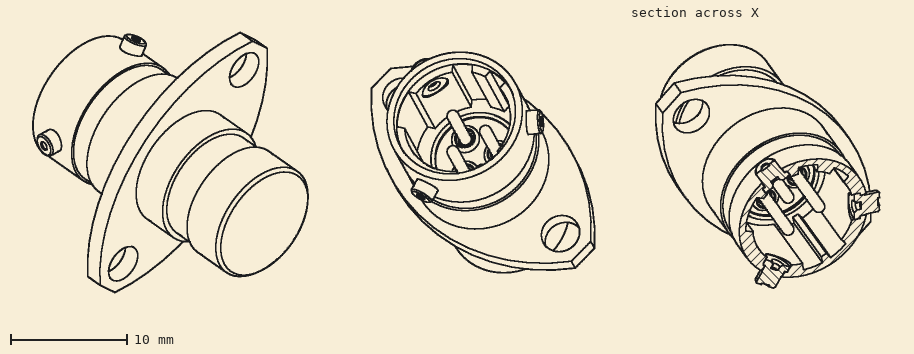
import cadquery as cq
import math

LENGTH = 23.3
FRONT_RADIUS = 5.96
FRONT_GROOVE_RADIUS = 5.75
FRONT_GROOVE_START = 5.03
FRONT_GROOVE_END = 7.01
FLANGE_START = 11.25
FLANGE_END = 12.85
REAR_RADIUS = 5.5
NECK_RADIUS = 5.0
NECK_START = 16.29
NECK_END = 19.27
TAIL_RADIUS = 5.34
TAIL_CHAMFER = 0.3

FLANGE_ARC_RADIUS = 16.5
FLANGE_ARC_CENTER_OFFSET = 9.62
FLANGE_TIP_DISTANCE = 12.45
FLANGE_DIAGONAL_ANGLE = 45.0
MOUNT_HOLE_RADIUS = 1.68
MOUNT_HOLE_DISTANCE = 9.88

MOUTH_RADIUS = 5.35
MOUTH_DEPTH = 1.2
KEYED_BORE_RADIUS = 4.65
SOCKET_DEPTH = 9.32
KEYWAY_FLOOR_RADIUS = 5.31
KEYWAY_WIDTH = 1.75
WIDE_KEYWAY_WIDTH = 3.3
KEYWAY_ANGLES = [95.0, 132.3, 232.0, 260.1]
WIDE_KEYWAY_ANGLE = 17.7

INSERT_RING_OUTER_RADIUS = 3.98
INSERT_RING_INNER_RADIUS = 3.6
INSERT_RING_HEIGHT = 0.23

CONTACT_ANGLES = [60.0, 180.0, 300.0]
CONTACT_CIRCLE_RADIUS = 1.9
CONTACT_RADIUS = 0.51
CONTACT_TIP = 3.38
COLLAR_RADIUS = 1.2
COLLAR_HEIGHT = 0.37
COLLAR_FILLET = 0.2
COLLAR_MOUTH_RADIUS = 0.89
COLLAR_STEP_DEPTH = 0.19
COLLAR_SINK_RADIUS = 0.82
COLLAR_FLOOR_RADIUS = 0.65

STUD_ANGLES = [60.0, 180.0, 300.0]
STUD_X = 2.7
STUD_RADIUS = 1.03
STUD_TOP = 7.08
STUD_CHAMFER = 0.15
STUD_DIMPLE_RADIUS = 0.4
STUD_DIMPLE_DEPTH = 0.15
STUD_HEAD_RADIUS = 1.28
STUD_HEAD_BOTTOM = 4.7
STUD_HEAD_TOP = 5.25
STUD_SINK_RADIUS = 0.58
STUD_SINK_DEPTH = 0.25
STUD_BORE_RADIUS = 0.35
STUD_BORE_DEPTH = 0.65


def x_cylinder(radius, start, end):
    """Cylinder about the connector axis between two X positions."""
    return cq.Workplane("YZ", origin=(start, 0, 0)).circle(radius).extrude(end - start)


def turn(body, angle):
    """Turn a body about the connector axis, from +Y toward +Z."""
    return body.rotate((0, 0, 0), (1, 0, 0), angle)


def make_barrel():
    """Stepped outside of the shell, solid inside."""
    return (
        cq.Workplane("XY")
        .moveTo(0, 0)
        .lineTo(0, FRONT_RADIUS)
        .lineTo(FRONT_GROOVE_START, FRONT_RADIUS)
        .lineTo(FRONT_GROOVE_START, FRONT_GROOVE_RADIUS)
        .lineTo(FRONT_GROOVE_END, FRONT_GROOVE_RADIUS)
        .lineTo(FRONT_GROOVE_END, FRONT_RADIUS)
        .lineTo(FLANGE_END, FRONT_RADIUS)
        .lineTo(FLANGE_END, REAR_RADIUS)
        .lineTo(NECK_START, REAR_RADIUS)
        .lineTo(NECK_START, NECK_RADIUS)
        .lineTo(NECK_END, NECK_RADIUS)
        .lineTo(NECK_END, TAIL_RADIUS)
        .lineTo(LENGTH - TAIL_CHAMFER, TAIL_RADIUS)
        .lineTo(LENGTH, TAIL_RADIUS - TAIL_CHAMFER)
        .lineTo(LENGTH, 0)
        .close()
        .revolve(360, (0, 0, 0), (1, 0, 0))
    )


def make_flange():
    """Lens-shaped plate with two mounting holes, its long axis on the Y-Z diagonal."""
    tip_half_width = (
        math.sqrt(FLANGE_ARC_RADIUS**2 - FLANGE_TIP_DISTANCE**2) - FLANGE_ARC_CENTER_OFFSET
    )
    waist_half_width = FLANGE_ARC_RADIUS - FLANGE_ARC_CENTER_OFFSET
    plate = (
        cq.Workplane("YZ", origin=(FLANGE_START, 0, 0))
        .moveTo(-FLANGE_TIP_DISTANCE, -tip_half_width)
        .threePointArc((0, -waist_half_width), (FLANGE_TIP_DISTANCE, -tip_half_width))
        .lineTo(FLANGE_TIP_DISTANCE, tip_half_width)
        .threePointArc((0, waist_half_width), (-FLANGE_TIP_DISTANCE, tip_half_width))
        .close()
        .pushPoints([(-MOUNT_HOLE_DISTANCE, 0), (MOUNT_HOLE_DISTANCE, 0)])
        .circle(MOUNT_HOLE_RADIUS)
        .extrude(FLANGE_END - FLANGE_START)
    )
    return turn(plate, FLANGE_DIAGONAL_ANGLE)


def make_keyway(width, angle):
    """Parallel-sided slot from the axis out to the round keyway floor."""
    slot = cq.Workplane("XY").box(
        SOCKET_DEPTH, MOUTH_RADIUS, width, centered=(False, False, True)
    )
    return turn(slot, angle).intersect(x_cylinder(KEYWAY_FLOOR_RADIUS, 0, SOCKET_DEPTH))


def make_socket():
    """Volume of the front socket with all its keyways."""
    socket = x_cylinder(KEYED_BORE_RADIUS, 0, SOCKET_DEPTH)
    socket = socket.union(x_cylinder(MOUTH_RADIUS, 0, MOUTH_DEPTH))
    for angle in KEYWAY_ANGLES:
        socket = socket.union(make_keyway(KEYWAY_WIDTH, angle))
    return socket.union(make_keyway(WIDE_KEYWAY_WIDTH, WIDE_KEYWAY_ANGLE))


def make_insert_ring():
    """Raised ring on the socket floor."""
    start = SOCKET_DEPTH - INSERT_RING_HEIGHT
    ring = x_cylinder(INSERT_RING_OUTER_RADIUS, start, SOCKET_DEPTH)
    return ring.cut(x_cylinder(INSERT_RING_INNER_RADIUS, start, SOCKET_DEPTH))


def make_collar():
    """Collar on the connector axis, rounded outside and stepped and countersunk inside."""
    rim = SOCKET_DEPTH - COLLAR_HEIGHT
    step = rim + COLLAR_STEP_DEPTH
    fillet_inset = COLLAR_FILLET * (1 - math.sqrt(0.5))
    return (
        cq.Workplane("XY")
        .moveTo(FLANGE_START, 0)
        .lineTo(SOCKET_DEPTH, 0)
        .lineTo(SOCKET_DEPTH, COLLAR_FLOOR_RADIUS)
        .lineTo(step, COLLAR_SINK_RADIUS)
        .lineTo(step, COLLAR_MOUTH_RADIUS)
        .lineTo(rim, COLLAR_MOUTH_RADIUS)
        .lineTo(rim, COLLAR_RADIUS - COLLAR_FILLET)
        .threePointArc(
            (rim + fillet_inset, COLLAR_RADIUS - fillet_inset),
            (rim + COLLAR_FILLET, COLLAR_RADIUS),
        )
        .lineTo(FLANGE_START, COLLAR_RADIUS)
        .close()
        .revolve(360, (0, 0, 0), (1, 0, 0))
    )


def make_contact(angle):
    """Round-nosed pin in its collar, both rooted behind the socket floor."""
    nose_center = CONTACT_TIP + CONTACT_RADIUS
    pin = x_cylinder(CONTACT_RADIUS, nose_center, FLANGE_START)
    nose = cq.Workplane("YZ", origin=(nose_center, 0, 0)).sphere(CONTACT_RADIUS)
    contact = make_collar().union(pin).union(nose)
    return turn(contact.translate((0, CONTACT_CIRCLE_RADIUS, 0)), angle)


def y_cylinder(radius, bottom, top):
    """Cylinder along Y at the stud position, between two distances from the connector axis."""
    cylinder = cq.Workplane("XZ", origin=(STUD_X, bottom, 0)).circle(radius)
    return cylinder.extrude(bottom - top)


def make_stud_hole(angle):
    """Stepped hole in the shell wall that matches the stud."""
    hole = y_cylinder(STUD_RADIUS, 0, STUD_TOP)
    return turn(hole.union(y_cylinder(STUD_HEAD_RADIUS, 0, STUD_HEAD_TOP)), angle)


def make_stud_bore():
    """Countersunk blind bore that opens at the inner face of the stud head."""
    bore_floor = STUD_HEAD_BOTTOM + STUD_BORE_DEPTH
    sink_floor = STUD_HEAD_BOTTOM + STUD_SINK_DEPTH
    return (
        cq.Workplane("XY", origin=(STUD_X, 0, 0))
        .moveTo(0, STUD_HEAD_BOTTOM)
        .lineTo(STUD_SINK_RADIUS, STUD_HEAD_BOTTOM)
        .lineTo(STUD_BORE_RADIUS, sink_floor)
        .lineTo(STUD_BORE_RADIUS, bore_floor)
        .lineTo(0, bore_floor)
        .close()
        .revolve(360, (0, 0, 0), (0, 1, 0))
    )


def make_stud(angle):
    """Headed stud with a dimple in its outer end and a countersunk bore in its head."""
    stud = y_cylinder(STUD_RADIUS, STUD_HEAD_BOTTOM, STUD_TOP).faces(">Y").chamfer(STUD_CHAMFER)
    stud = stud.union(y_cylinder(STUD_HEAD_RADIUS, STUD_HEAD_BOTTOM, STUD_HEAD_TOP))
    stud = stud.cut(make_stud_bore())
    stud = stud.cut(y_cylinder(STUD_DIMPLE_RADIUS, STUD_TOP - STUD_DIMPLE_DEPTH, STUD_TOP))
    return turn(stud, angle)


def make_shell():
    """Barrel and flange with the socket, its insert face and contacts, and the stud holes."""
    shell = make_barrel().union(make_flange()).cut(make_socket())
    for angle in STUD_ANGLES:
        shell = shell.cut(make_stud_hole(angle))
    shell = shell.union(make_insert_ring())
    for angle in CONTACT_ANGLES:
        shell = shell.union(make_contact(angle))
    return shell


shell = make_shell()
studs = [make_stud(angle) for angle in STUD_ANGLES]

result = cq.Compound.makeCompound([shell.solids().val(), *[stud.solids().val() for stud in studs]])